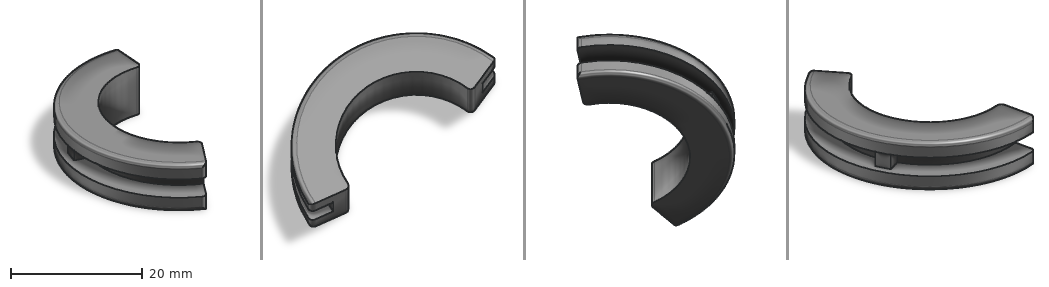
import cadquery as cq
import math

outer_radius = 19.05
inner_radius = 12.3
groove_floor_radius = 15.3

total_height = 8.4
groove_height = 3.22
flange_height = (total_height - groove_height) / 2

end_slope_deg = 15
end_apex_y = 2.1

edge_radius = 0.8

key_width = 2.6
key_reach = 17.7


def end_point(radius):
    """Point where the right-hand end face crosses a circle of the given radius."""
    slope = math.radians(end_slope_deg)
    distance_to_axis = end_apex_y * math.cos(slope)
    angle = math.asin(distance_to_axis / radius) - slope
    return radius * math.cos(angle), radius * math.sin(angle)


def sector(radius_in, radius_out, height):
    """Upright ring sector between the two sloping end faces, standing on Z = 0."""
    x_in, y_in = end_point(radius_in)
    x_out, y_out = end_point(radius_out)
    return (
        cq.Workplane("XY")
        .moveTo(x_in, y_in)
        .lineTo(x_out, y_out)
        .threePointArc((0, -radius_out), (-x_out, y_out))
        .lineTo(-x_in, y_in)
        .threePointArc((0, -radius_in), (x_in, y_in))
        .close()
        .extrude(height)
    )


def rounded_body():
    """Ring sector with rounded end corners and rounded outer rims."""
    body = sector(inner_radius, outer_radius, total_height).edges("|Z").fillet(edge_radius)
    rim_envelope = (
        cq.Workplane("XY")
        .circle(outer_radius)
        .extrude(total_height)
        .edges("%CIRCLE")
        .fillet(edge_radius)
    )
    return body.intersect(rim_envelope)


def groove():
    """Groove round the outside, open at both ends and interrupted by the key."""
    clearance_radius = outer_radius + edge_radius
    ring = sector(groove_floor_radius, clearance_radius, groove_height)
    key = (
        cq.Workplane("XY")
        .rect(key_width, 2 * key_reach)
        .extrude(groove_height)
    )
    return ring.cut(key).translate((0, 0, flange_height))


result = rounded_body().cut(groove())